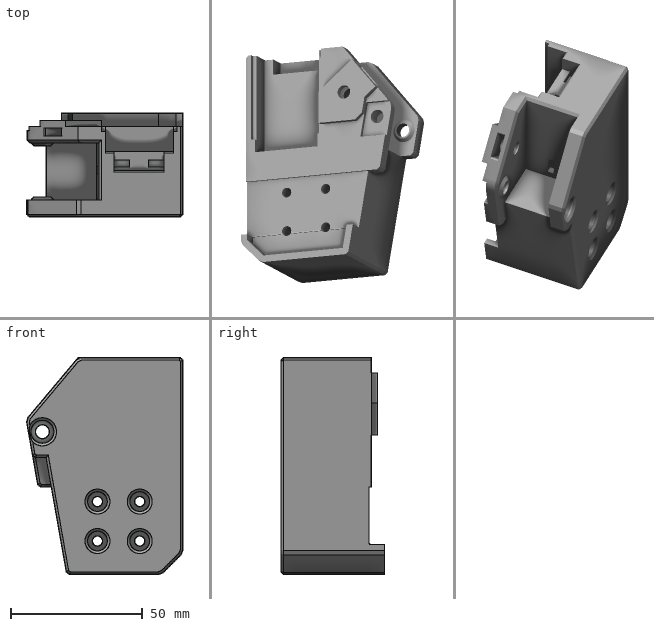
import cadquery as cq
import math

WIDTH = 59.35
HEIGHT = 82.3
LEAN = math.tan(math.radians(10))
BROW_RUN = math.tan(math.radians(40))
BASE_LEFT = 15.2
ARM_TOP_LEFT = 19.6
ARM_ZERO_Z = 57.95
CORNER_CUT = 8.15
BEVEL = 1.0
REAR_ARM_ROUND = 6.0

FRONT_ARM_BACK = 6.5
REAR_ARM_FRONT = 28.15
RAIL_FACE = 33.5
BACK_FACE = 34.4
LIP_BACK = 39.4

CHANNEL_FLOOR = 44.4
REAR_ARM_FOOT = 33.2
LIP_TOP = 11.45
LIP_WALL = 2.55
RAIL_ROUND = 0.5

WALL_TOP_X = 27.4
WALL_FOOT_X = 26.6
WALL_SLOT_Y = (16.55, 19.1)
WALL_SLOT_Z = (46.9, 53.75)
WALL_SLOT_DEPTH = 2.5

PIVOT_X, PIVOT_Z = 6.0, 54.2
PIVOT_HOLE = 5.2
PIVOT_BORE = 8.7
PIVOT_BORE_DEPTH = 3.7
BOSS_BASE = 8.7
BOSS_HEIGHT = 1.15

SCREW_X = (26.9, 43.0)
SCREW_Z = (12.7, 27.7)
SCREW_HOLE = 3.8
SCREW_BORE = 7.5
SCREW_BORE_DEPTH = 16.5

SLOT_MOUTH_Z = 70.8
SLOT_LENGTH = 9.5
SLOT_DEPTH = 15.0
SLOT_Y = (30.7, 33.8)
SLOT_MOUTH_BEVEL = 0.5
NUT_AXIS_DEPTH = 10.6
NUT_HOLE = 5.2

PAD_BACK = 36.7
PAD_TOP_Z = 76.55
PAD_LOW_Z = 65.0
PAD_RIGHT = 28.5
PAD_SHOULDER_Z = 61.25
PAD_HEEL_Z = 55.3
PAD_FOOT_Z = 52.85

NOTCH_FRONT = 32.8
NOTCH_Z = (46.5, 59.7)

BAY_X = (30.0, 55.7)
BAY_FRONT = 24.3
SEAT_MARGIN = 1.5
SEAT_FRONT = 32.5
SEAT_FLOOR = 49.4
TRAY_X = (33.2, 52.3)
TRAY_FRONT = 17.1
TRAY_DEPTH = 6.0
BAY_BEVEL = 0.6
KEY_Y = (18.9, 21.65)
KEY_LENGTH = 5.9
KEY_DEPTH = 2.5


def body_x(z):
    """X of the body's left side at height z."""
    return BASE_LEFT - LEAN * z


def arm_x(z):
    """X of the arms' left side at height z."""
    return LEAN * (ARM_ZERO_Z - z)


def brow_x(z):
    """X of the upper left slope at height z."""
    return ARM_TOP_LEFT - BROW_RUN * (HEIGHT - z)


def prism(points, y_start, y_end):
    """Extrude an XZ outline between two Y positions."""
    plane = cq.Workplane("XZ", origin=(0, y_start, 0))
    return plane.polyline(points).close().extrude(y_start - y_end)


def block(x, y, z):
    """Box from its (low, high) range on each axis."""
    size = (x[1] - x[0], y[1] - y[0], z[1] - z[0])
    return cq.Workplane(origin=(x[0], y[0], z[0])).box(*size, centered=False)


def bevelled_pocket(x, y, z):
    """Box to cut away, widened by a bevel along its upper front edge."""
    (front, back), (floor, top) = y, z
    outline = [
        (front, top),
        (front + BAY_BEVEL, top - BAY_BEVEL),
        (front + BAY_BEVEL, floor),
        (back, floor),
        (back, top),
    ]
    return cq.Workplane("YZ", origin=(x[0], 0, 0)).polyline(outline).close().extrude(x[1] - x[0])


def bore(x, z, diameter, y_start, y_end):
    """Cylinder along Y."""
    return cq.Workplane("XZ", origin=(x, y_start, z)).circle(diameter / 2).extrude(y_start - y_end)


def cone(x, z, diameter, y_start, height, direction):
    """45 degree cone along Y, narrowing in the given direction."""
    axis = cq.Vector(0, direction, 0)
    solid = cq.Solid.makeCone(diameter / 2, diameter / 2 - height, height, cq.Vector(x, y_start, z), axis)
    return cq.Workplane(obj=solid)


def corner_edge(solid, x, z):
    """The edge along Y nearest to a corner of the outline."""
    y = solid.val().Center().y
    return solid.edges("|Y").edges(cq.NearestToPointSelector((x, y, z)))


BROW_Z = (LEAN * ARM_ZERO_Z + BROW_RUN * HEIGHT - ARM_TOP_LEFT) / (BROW_RUN + LEAN)
BROW_CORNER = (arm_x(BROW_Z), BROW_Z)
BASE_CORNERS = [
    (BASE_LEFT, 0),
    (WIDTH - CORNER_CUT, 0),
    (WIDTH, CORNER_CUT),
    (WIDTH, HEIGHT),
]


def bevel_corners(solid, corners):
    """Bevel the edges along Y at the given corners."""
    for x, z in corners:
        solid = corner_edge(solid, x, z).chamfer(BEVEL)
    return solid


def arm_plate(y_start, y_end, foot):
    """Body outline with an arm on its left, bevelled at the base corners and the arm's foot."""
    arm = [
        (ARM_TOP_LEFT, HEIGHT),
        BROW_CORNER,
        (arm_x(foot), foot),
        (body_x(foot), foot),
    ]
    plate = prism(BASE_CORNERS + arm, y_start, y_end)
    return bevel_corners(plate, BASE_CORNERS + [arm[2]])


def core():
    """Body between the plates, running back to the lip."""
    wall = [
        (WALL_TOP_X + BEVEL, HEIGHT),
        (WALL_TOP_X, HEIGHT - BEVEL),
        (WALL_FOOT_X, CHANNEL_FLOOR),
        (body_x(CHANNEL_FLOOR), CHANNEL_FLOOR),
    ]
    solid = prism(BASE_CORNERS + wall, FRONT_ARM_BACK, LIP_BACK)
    return bevel_corners(solid, BASE_CORNERS)


front_plate = arm_plate(0, FRONT_ARM_BACK, CHANNEL_FLOOR)
front_plate = bevel_corners(front_plate, [BROW_CORNER, (ARM_TOP_LEFT, HEIGHT)])
front_plate = front_plate.faces("<Y").chamfer(BEVEL)
rear_plate = arm_plate(REAR_ARM_FRONT, BACK_FACE, REAR_ARM_FOOT)
rear_plate = corner_edge(rear_plate, *BROW_CORNER).fillet(REAR_ARM_ROUND)
rear_plate = rear_plate.faces("<Y").chamfer(BEVEL)
body = front_plate.union(core()).union(rear_plate)

FULL_X = (0, WIDTH)
body = body.cut(block(FULL_X, (BACK_FACE, LIP_BACK), (LIP_TOP, HEIGHT)))
rail = block(FULL_X, (RAIL_FACE, LIP_BACK), (LIP_TOP, REAR_ARM_FOOT))
body = body.cut(rail.edges("|X and <Y and <Z").fillet(RAIL_ROUND))

rim_x = LIP_WALL / math.cos(math.atan(LEAN))
floor_right = WIDTH - CORNER_CUT + LIP_WALL - LIP_WALL * math.sqrt(2)
rim_right = WIDTH - LIP_WALL
lip_hollow = [
    (body_x(LIP_TOP) + rim_x, LIP_TOP),
    (body_x(LIP_WALL) + rim_x, LIP_WALL),
    (floor_right, LIP_WALL),
    (rim_right, LIP_WALL + rim_right - floor_right),
    (rim_right, LIP_TOP),
]
body = body.cut(prism(lip_hollow, RAIL_FACE, LIP_BACK))

shoulder_x = brow_x(PAD_LOW_Z) + (PAD_LOW_Z - PAD_SHOULDER_Z) / BROW_RUN
heel_x = shoulder_x + LEAN * (PAD_SHOULDER_Z - PAD_HEEL_Z)
pad = [
    (brow_x(PAD_TOP_Z), PAD_TOP_Z),
    (brow_x(PAD_LOW_Z), PAD_LOW_Z),
    (shoulder_x, PAD_SHOULDER_Z),
    (heel_x, PAD_HEEL_Z),
    (heel_x + (PAD_HEEL_Z - PAD_FOOT_Z) / BROW_RUN, PAD_FOOT_Z),
    (PAD_RIGHT, PAD_FOOT_Z),
    (PAD_RIGHT, PAD_TOP_Z - BROW_RUN * (PAD_RIGHT - brow_x(PAD_TOP_Z))),
]
body = body.union(prism(pad, BACK_FACE, PAD_BACK))

for face, direction in ((FRONT_ARM_BACK, 1), (REAR_ARM_FRONT, -1)):
    body = body.union(cone(PIVOT_X, PIVOT_Z, BOSS_BASE, face, BOSS_HEIGHT, direction))
body = body.cut(bore(PIVOT_X, PIVOT_Z, PIVOT_HOLE, 0, BACK_FACE))
body = body.cut(bore(PIVOT_X, PIVOT_Z, PIVOT_BORE, 0, PIVOT_BORE_DEPTH))
body = body.cut(cone(PIVOT_X, PIVOT_Z, PIVOT_BORE + 2 * BEVEL, 0, BEVEL, 1))

for x in SCREW_X:
    for z in SCREW_Z:
        body = body.cut(bore(x, z, SCREW_HOLE, 0, LIP_BACK))
        body = body.cut(bore(x, z, SCREW_BORE, 0, SCREW_BORE_DEPTH))
        body = body.cut(cone(x, z, SCREW_BORE + 2 * BEVEL, 0, BEVEL, 1))

inward = cq.Vector(1, 0, -BROW_RUN).normalized()
slot_plane = cq.Plane(
    origin=(brow_x(SLOT_MOUTH_Z), SLOT_Y[0], SLOT_MOUTH_Z),
    xDir=inward,
    normal=(0, 1, 0),
)
half = SLOT_LENGTH / 2
mouth = half + SLOT_MOUTH_BEVEL
slot = [
    (0, -mouth),
    (SLOT_MOUTH_BEVEL, -half),
    (SLOT_DEPTH, -half),
    (SLOT_DEPTH, half),
    (SLOT_MOUTH_BEVEL, half),
    (0, mouth),
]
body = body.cut(cq.Workplane(slot_plane).polyline(slot).close().extrude(SLOT_Y[1] - SLOT_Y[0]))
nut_axis = slot_plane.toWorldCoords((NUT_AXIS_DEPTH, 0, 0))
body = body.cut(bore(nut_axis.x, nut_axis.z, NUT_HOLE, REAR_ARM_FRONT, PAD_BACK))

notch_foot, notch_top = NOTCH_Z
notch = [
    (heel_x + LEAN * (PAD_HEEL_Z - notch_foot), notch_foot),
    (heel_x + LEAN * (PAD_HEEL_Z - notch_top), notch_top),
    (0, notch_top),
    (0, notch_foot),
]
body = body.cut(prism(notch, NOTCH_FRONT, BACK_FACE))

wall_slot_x = (WALL_FOOT_X, WALL_FOOT_X + WALL_SLOT_DEPTH)
body = body.cut(block(wall_slot_x, WALL_SLOT_Y, WALL_SLOT_Z))

body = body.cut(bevelled_pocket(BAY_X, (BAY_FRONT, BACK_FACE), (CHANNEL_FLOOR, HEIGHT)))
seat_x = (BAY_X[0] - SEAT_MARGIN, BAY_X[1] + SEAT_MARGIN)
body = body.cut(block(seat_x, (SEAT_FRONT, BACK_FACE), (SEAT_FLOOR, HEIGHT)))
tray_floor = HEIGHT - TRAY_DEPTH
body = body.cut(bevelled_pocket(TRAY_X, (TRAY_FRONT, SEAT_FRONT), (tray_floor, HEIGHT)))
for x in ((TRAY_X[0], TRAY_X[0] + KEY_LENGTH), (TRAY_X[1] - KEY_LENGTH, TRAY_X[1])):
    body = body.cut(block(x, KEY_Y, (tray_floor - KEY_DEPTH, tray_floor)))

result = body